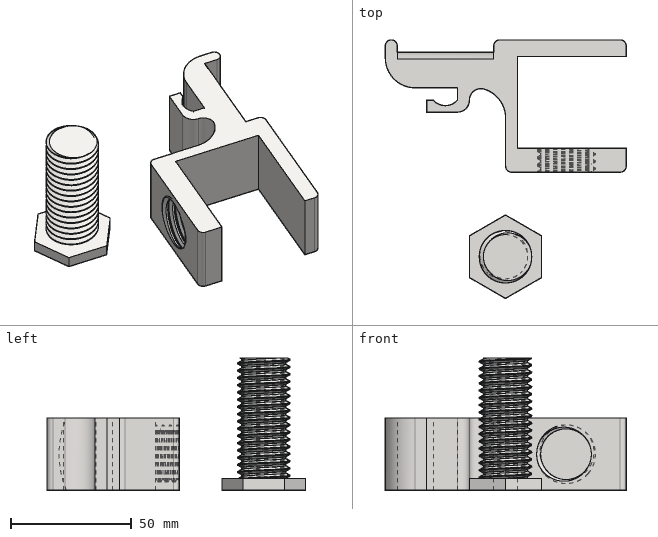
import cadquery as cq
import math

clamp_length = 100.0
clamp_depth = 55.0
clamp_height = 30.0
wall = 5.0
corner_radius = wall / 2

jaw_floor_x = 55.0
back_arm_thickness = 7.0
front_arm_thickness = 10.0
jaw_wall_x = jaw_floor_x - wall
shoulder_x = 45.0

ledge_y = clamp_depth - 8.0
seat_crown = 3.0
underside_y = clamp_depth - 20.0
bend_radius = 12.5

hook_tip_x = 17.2
hook_groove_x = 20.0
hook_slot_end_x = 29.9
hook_groove_depth = 2.3
hook_top_y = underside_y - wall
hook_bottom_y = hook_top_y - wall
neck_x = hook_slot_end_x + wall

thread_pitch = 3.0
crest_width = thread_pitch / 8
ridge_base_width = thread_pitch * 3 / 4
bolt_major_diameter = 21.8
bolt_minor_diameter = 18.4
hole_major_diameter = 24.4
hole_minor_diameter = 21.0
hole_x = 75.0

total_depth = 107.3
bolt_height = 55.0
head_height = 5.0
head_across_flats = 30.0
head_across_corners = head_across_flats * 2 / math.sqrt(3)
bolt_x = jaw_wall_x
bolt_y = clamp_depth - total_depth + head_across_corners / 2


def arc_point(center, radius, angle):
    """Point of a circle at an angle in degrees from +X."""
    turn = math.radians(angle)
    return (center[0] + radius * math.cos(turn), center[1] + radius * math.sin(turn))


def make_outline():
    """Plan outline of the clamp, with the jaw and shoulder corners still sharp."""
    bend_center = (bend_radius, underside_y + bend_radius)

    hollow_center = (jaw_wall_x - bend_radius, underside_y - bend_radius)
    hollow_end = (jaw_wall_x, hollow_center[1])

    across = hollow_center[0] - neck_x
    below = hook_top_y - hollow_center[1]
    throat_radius = (bend_radius**2 - across**2 - below**2) / (2 * (bend_radius - across))
    throat_center = (neck_x + throat_radius, hook_top_y)
    meeting_angle = math.degrees(
        math.atan2(throat_center[1] - hollow_center[1], throat_center[0] - hollow_center[0])
    )
    throat_mid = arc_point(throat_center, throat_radius, (180 + meeting_angle) / 2)
    throat_end = arc_point(throat_center, throat_radius, meeting_angle)
    hollow_mid = arc_point(hollow_center, bend_radius, meeting_angle / 2)

    groove_mid = ((hook_groove_x + hook_slot_end_x) / 2, hook_top_y - hook_groove_depth)
    elbow_center = (hook_slot_end_x, hook_top_y)

    return (
        cq.Workplane("XY")
        .moveTo(0, clamp_depth)
        .lineTo(0, bend_center[1])
        .threePointArc(arc_point(bend_center, bend_radius, 225), (bend_center[0], underside_y))
        .lineTo(hook_slot_end_x, underside_y)
        .lineTo(hook_slot_end_x, hook_top_y)
        .threePointArc(groove_mid, (hook_groove_x, hook_top_y))
        .lineTo(hook_tip_x, hook_top_y)
        .lineTo(hook_tip_x, hook_bottom_y)
        .lineTo(hook_slot_end_x, hook_bottom_y)
        .threePointArc(arc_point(elbow_center, wall, -45), (neck_x, hook_top_y))
        .threePointArc(throat_mid, throat_end)
        .threePointArc(hollow_mid, hollow_end)
        .lineTo(jaw_wall_x, 0)
        .lineTo(clamp_length, 0)
        .lineTo(clamp_length, front_arm_thickness)
        .lineTo(jaw_floor_x, front_arm_thickness)
        .lineTo(jaw_floor_x, clamp_depth - back_arm_thickness)
        .lineTo(clamp_length, clamp_depth - back_arm_thickness)
        .lineTo(clamp_length, clamp_depth)
        .lineTo(shoulder_x, clamp_depth)
        .lineTo(shoulder_x, ledge_y)
        .lineTo(wall, ledge_y)
        .lineTo(wall, clamp_depth - corner_radius)
        .threePointArc((wall / 2, clamp_depth), (0, clamp_depth - corner_radius))
        .close()
    )


def round_outer_corners(body):
    """Round the upright outer edges of the jaw and the shoulder."""
    corners = [
        (shoulder_x, clamp_depth),
        (clamp_length, clamp_depth),
        (clamp_length, 0),
        (jaw_wall_x, 0),
    ]
    for x, y in corners:
        edge = cq.selectors.NearestToPointSelector((x, y, clamp_height / 2))
        body = body.edges("|Z").edges(edge).fillet(corner_radius)
    return body


def make_seat():
    """Crowned seat that bulges from the ledge between the lip and the shoulder."""
    return (
        cq.Workplane("YZ", origin=(wall, 0, 0))
        .moveTo(ledge_y, 0)
        .threePointArc((ledge_y + seat_crown, clamp_height / 2), (ledge_y, clamp_height))
        .close()
        .extrude(shoulder_x - wall)
    )


def make_threaded_rod(major_diameter, minor_diameter, length):
    """Right-handed threaded rod on +Z whose crest meets the far end at +X."""
    major_radius = major_diameter / 2
    minor_radius = minor_diameter / 2
    core = cq.Workplane("XY").circle(minor_radius).extrude(length)

    flank_run = (ridge_base_width - crest_width) / 2 / (major_radius - minor_radius)
    embed = 0.1
    root_half = ridge_base_width / 2 + flank_run * embed
    turns = math.ceil(length / thread_pitch) + 2
    start_z = length - (turns - 1) * thread_pitch
    path = cq.Workplane(cq.Wire.makeHelix(thread_pitch, turns * thread_pitch, minor_radius))
    ridge = (
        cq.Workplane("XZ")
        .polyline(
            [
                (minor_radius - embed, -root_half),
                (major_radius, -crest_width / 2),
                (major_radius, crest_width / 2),
                (minor_radius - embed, root_half),
            ]
        )
        .close()
        .sweep(path, isFrenet=True)
        .translate((0, 0, start_z))
    )

    envelope = cq.Workplane("XY").circle(major_diameter).extrude(length)
    return core.union(ridge.intersect(envelope))


def make_hole_cutter():
    """Threaded cutter along Y, one pitch longer than the front arm at each face."""
    cutter = make_threaded_rod(
        hole_major_diameter, hole_minor_diameter, front_arm_thickness + 2 * thread_pitch
    )
    return (
        cutter.rotate((0, 0, 0), (0, 0, 1), 180)
        .rotate((0, 0, 0), (1, 0, 0), 90)
        .translate((hole_x, front_arm_thickness + thread_pitch, clamp_height / 2))
    )


def make_clamp():
    """Clamp with lip, hook, jaw and a threaded hole through the front arm."""
    body = round_outer_corners(make_outline().extrude(clamp_height))
    return body.union(make_seat()).cut(make_hole_cutter())


def make_bolt():
    """Bolt with a flat hexagonal head whose corners point along Y."""
    head = (
        cq.Workplane("XY")
        .polygon(6, head_across_corners)
        .extrude(head_height)
        .rotate((0, 0, 0), (0, 0, 1), 90)
    )
    shank = make_threaded_rod(bolt_major_diameter, bolt_minor_diameter, bolt_height - head_height)
    return head.union(shank.translate((0, 0, head_height))).translate((bolt_x, bolt_y, 0))


clamp = make_clamp()
bolt = make_bolt()

result = cq.Compound.makeCompound([clamp.solids().val(), bolt.solids().val()])